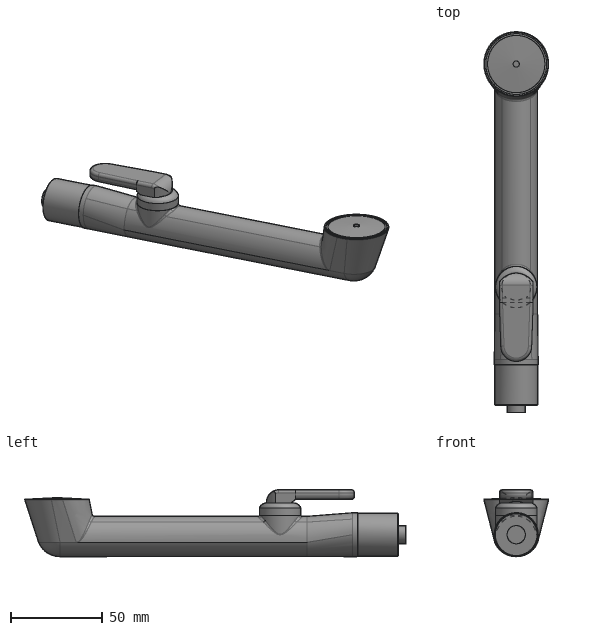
import cadquery as cq
import math

cup_diameter = 35.52
overall_length = 208.98
overall_height = 36.81

cup_radius = cup_diameter / 2
plug_end_y = cup_radius - overall_length
plug_length = 4.0
barrel_end_y = plug_end_y + plug_length
end_sleeve_length = 22.2
collar_end_y = barrel_end_y + end_sleeve_length
collar_length = 3.0
collar_start_y = collar_end_y + collar_length
transition_length = 25.0
transition_start_y = collar_start_y + transition_length
valve_y = -122.3

collar_radius = 12.1
end_sleeve_radius = 11.85
plug_radius = 5.0
collar_shoulder_angle = 45
collar_chamfer = 0.2
end_sleeve_chamfer = 0.4

tube_bottom_z = -collar_radius
crease_z = -4.2
crease_half_width = 11.8
shoulder_z = 6.9
shoulder_half_width = 7.8
side_bulge_half_width = 10.7
side_bulge_z = 2.0
tube_top_z = 10.15

elbow_y = -1.6
crease_depth = crease_z - tube_bottom_z
elbow_radius = (crease_half_width**2 + crease_depth**2) / (2 * crease_depth)

rim_z = 19.6
rim_height = 0.6
rim_chamfer = 0.3
foot_front_y = -10.5
rim_side_half_angle = 10
lid_radius = 15.7
lid_groove_width = 1.0
lid_groove_depth = 0.4
lid_height = 0.8
lid_hole_radius = 1.7
lid_hole_depth = 0.6
branch_edge_margin = 0.1
cup_blend_radius = 1.3

bonnet_radius = 11.4
valve_body_radius = 11.3
bonnet_base_z = 10.4
bonnet_wall_top_z = 14.7
bonnet_top_z = 17.4
bonnet_top_radius = 8.0
bonnet_shoulder_radius = 10.2
bonnet_shoulder_z = 16.4
neck_radius = 7.2
neck_height = 1.3
valve_blend_radius = 1.3

lever_top_z = tube_bottom_z + overall_height
blade_thickness = 5.4
head_half_width = 9.3
tip_half_width = 8.5
head_back_y = valve_y + 7.6
head_side_y = valve_y + 2.6
head_top_y = valve_y + 1.0
dome_mid_y = valve_y + 5.5
dome_mid_z = lever_top_z - 2.1
head_front_y = valve_y - 6.0
blade_start_y = valve_y - 8.5
tip_y = -163.1
lever_edge_fillet = 1.8


def y_cylinder(radius, start_y, end_y):
    """Cylinder about the barrel axis, running toward -Y."""
    return cq.Workplane("XZ", origin=(0, start_y, 0)).circle(radius).extrude(start_y - end_y)


def tube_section(plane):
    """Closed tube outline, from one crease round the bottom to the other and back over the top."""
    return (
        plane.moveTo(-crease_half_width, crease_z)
        .threePointArc((0, tube_bottom_z), (crease_half_width, crease_z))
        .threePointArc((side_bulge_half_width, side_bulge_z), (shoulder_half_width, shoulder_z))
        .threePointArc((0, tube_top_z), (-shoulder_half_width, shoulder_z))
        .threePointArc((-side_bulge_half_width, side_bulge_z), (-crease_half_width, crease_z))
        .close()
    )


def make_tube():
    section = tube_section(cq.Workplane("XZ", origin=(0, elbow_y, 0)))
    return section.extrude(elbow_y - transition_start_y)


def collar_point(angle):
    """Point of the collar circle at an angle in degrees from +X."""
    turn = math.radians(angle)
    return (collar_radius * math.cos(turn), collar_radius * math.sin(turn))


def make_transition():
    """Blend from the tube section to the round collar; the arcs of both ends correspond."""
    middle_angle = collar_shoulder_angle / 2
    tube_end = tube_section(cq.Workplane("XZ", origin=(0, transition_start_y, 0)))
    return (
        tube_end.workplane(offset=transition_length)
        .moveTo(*collar_point(180))
        .threePointArc(collar_point(-90), collar_point(0))
        .threePointArc(collar_point(middle_angle), collar_point(collar_shoulder_angle))
        .threePointArc(collar_point(90), collar_point(180 - collar_shoulder_angle))
        .threePointArc(collar_point(180 - middle_angle), collar_point(180))
        .close()
        .loft(ruled=True)
    )


def make_barrel_end():
    collar = y_cylinder(collar_radius, collar_start_y, collar_end_y)
    collar = collar.faces("<Y").chamfer(collar_chamfer)
    sleeve = y_cylinder(end_sleeve_radius, collar_end_y, barrel_end_y)
    sleeve = sleeve.faces("<Y").chamfer(end_sleeve_chamfer)
    plug = y_cylinder(plug_radius, barrel_end_y, plug_end_y)
    return collar.union(sleeve).union(plug)


def make_elbow_cap():
    ball = cq.Workplane().sphere(elbow_radius)
    ball = ball.translate((0, elbow_y, tube_bottom_z + elbow_radius))
    below_crease = (
        cq.Workplane("XY", origin=(0, elbow_y, crease_z))
        .rect(2 * elbow_radius, 2 * elbow_radius)
        .extrude(-2 * elbow_radius)
    )
    return ball.intersect(below_crease)


def make_cup_body():
    flare_height = rim_z - rim_height - crease_z
    rim_side_x = cup_radius * math.cos(math.radians(rim_side_half_angle))
    rim_side_y = cup_radius * math.sin(math.radians(rim_side_half_angle))
    return (
        cq.Workplane("XY", origin=(0, 0, crease_z))
        .moveTo(crease_half_width, elbow_y)
        .threePointArc((0, elbow_y + crease_half_width), (-crease_half_width, elbow_y))
        .lineTo(-crease_half_width, foot_front_y)
        .threePointArc((0, foot_front_y - crease_half_width), (crease_half_width, foot_front_y))
        .close()
        .workplane(offset=flare_height)
        .moveTo(rim_side_x, rim_side_y)
        .threePointArc((0, cup_radius), (-rim_side_x, rim_side_y))
        .threePointArc((-cup_radius, 0), (-rim_side_x, -rim_side_y))
        .threePointArc((0, -cup_radius), (rim_side_x, -rim_side_y))
        .threePointArc((cup_radius, 0), (rim_side_x, rim_side_y))
        .close()
        .loft(ruled=True)
    )


def make_rim_and_lid():
    """Turned rim with a narrow groove around the conical lid and a small blind centre hole."""
    lid_top_z = rim_z + lid_height
    hole_floor_z = lid_top_z - lid_hole_depth
    hole_edge_z = lid_top_z - lid_height * lid_hole_radius / lid_radius
    groove_radius = lid_radius + lid_groove_width
    groove_z = rim_z - lid_groove_depth
    return (
        cq.Workplane("XZ")
        .moveTo(0, rim_z - rim_height)
        .lineTo(cup_radius, rim_z - rim_height)
        .lineTo(cup_radius, rim_z - rim_chamfer)
        .lineTo(cup_radius - rim_chamfer, rim_z)
        .lineTo(groove_radius, rim_z)
        .lineTo(groove_radius, groove_z)
        .lineTo(lid_radius, groove_z)
        .lineTo(lid_radius, rim_z)
        .lineTo(lid_hole_radius, hole_edge_z)
        .lineTo(lid_hole_radius, hole_floor_z)
        .lineTo(0, hole_floor_z)
        .close()
        .revolve(360, (0, 0, 0), (0, 1, 0))
    )


def make_valve_body():
    axis_plane = cq.Workplane("XY", origin=(0, valve_y, 0))
    return axis_plane.circle(valve_body_radius).extrude(bonnet_base_z)


def make_bonnet():
    neck_top_z = bonnet_top_z + neck_height
    return (
        cq.Workplane("XZ", origin=(0, valve_y, 0))
        .moveTo(0, bonnet_base_z)
        .lineTo(bonnet_radius, bonnet_base_z)
        .lineTo(bonnet_radius, bonnet_wall_top_z)
        .threePointArc((bonnet_shoulder_radius, bonnet_shoulder_z), (bonnet_top_radius, bonnet_top_z))
        .lineTo(neck_radius, bonnet_top_z)
        .lineTo(neck_radius, neck_top_z)
        .lineTo(0, neck_top_z)
        .close()
        .revolve(360, (0, 0, 0), (0, 1, 0))
    )


def make_lever_head():
    """Block with a domed back, rounded along its sides and trimmed to a round back in plan."""
    head_base_z = bonnet_top_z
    head = (
        cq.Workplane("YZ")
        .moveTo(head_back_y, head_base_z)
        .threePointArc((dome_mid_y, dome_mid_z), (head_top_y, lever_top_z))
        .lineTo(blade_start_y, lever_top_z)
        .lineTo(blade_start_y, lever_top_z - blade_thickness)
        .lineTo(head_front_y, head_base_z)
        .close()
        .extrude(head_half_width, both=True)
    )
    upper_zone = cq.selectors.BoxSelector(
        (-cup_radius, head_front_y, bonnet_top_z + neck_height),
        (cup_radius, head_back_y, lever_top_z + lever_edge_fillet),
    )
    side_edges = head.faces("<X or >X").edges(upper_zone)
    head = side_edges.fillet(lever_edge_fillet)
    plan = (
        cq.Workplane("XY", origin=(0, 0, head_base_z))
        .moveTo(head_half_width, head_side_y)
        .threePointArc((0, head_back_y), (-head_half_width, head_side_y))
        .lineTo(-head_half_width, blade_start_y)
        .lineTo(head_half_width, blade_start_y)
        .close()
        .extrude(lever_top_z - head_base_z)
    )
    return head.intersect(plan)


def make_lever_blade():
    """Flat blade, slightly tapered toward its round tip, with rounded edges."""
    tip_arc_y = tip_y + tip_half_width
    blade = (
        cq.Workplane("XY", origin=(0, 0, lever_top_z - blade_thickness))
        .moveTo(-head_half_width, blade_start_y)
        .lineTo(-tip_half_width, tip_arc_y)
        .threePointArc((0, tip_y), (tip_half_width, tip_arc_y))
        .lineTo(head_half_width, blade_start_y)
        .close()
        .extrude(blade_thickness)
    )
    rim_edges = blade.faces("<Z or >Z").edges("not >Y")
    return rim_edges.fillet(lever_edge_fillet)


def join_with_fillet(tube, branch, radius, start_y, end_y):
    """Join an upright branch to the tube and round the corner between them."""
    joined = tube.union(branch)
    corner_zone = cq.selectors.BoxSelector(
        (-cup_radius, start_y, crease_z), (cup_radius, end_y, tube_top_z + branch_edge_margin)
    )
    corner = joined.edges(corner_zone).edges("(not |Y) and (not |Z)")
    return corner.fillet(radius)


tube = make_tube().union(make_elbow_cap())
tube = join_with_fillet(
    tube, make_valve_body(), valve_blend_radius, valve_y - bonnet_radius, valve_y + bonnet_radius
)
barrel = join_with_fillet(
    tube, make_cup_body(), cup_blend_radius, foot_front_y - cup_radius, foot_front_y
)
result = (
    barrel.union(make_transition())
    .union(make_barrel_end())
    .union(make_rim_and_lid())
    .union(make_bonnet())
    .union(make_lever_head())
    .union(make_lever_blade())
)